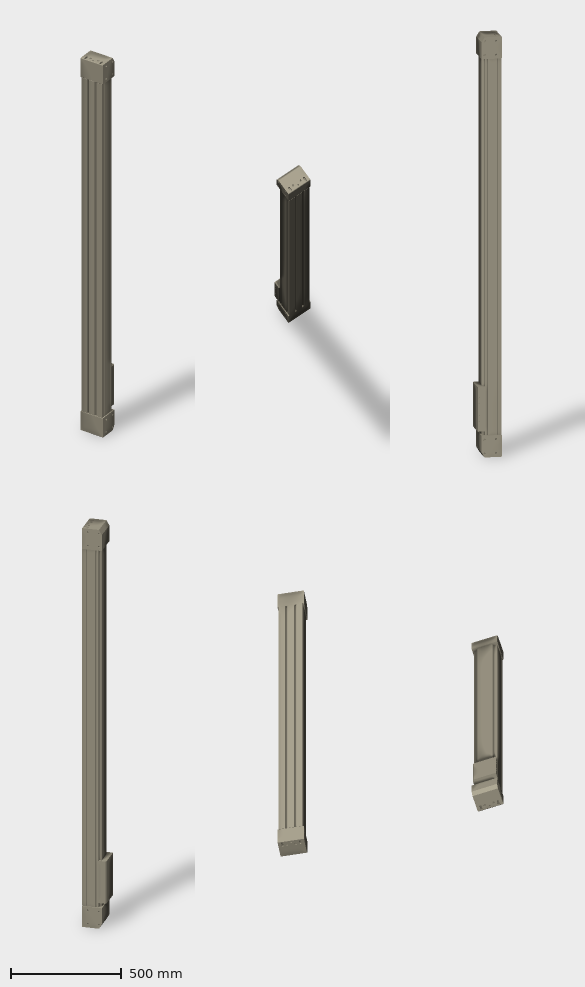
import cadquery as cq

TOTAL_LENGTH = 1946.0
HEAD_LENGTH = 101.0
PROFILE_LENGTH = TOTAL_LENGTH - 2 * HEAD_LENGTH

HEAD_WIDTH = 120.0
HEAD_DEPTH = 93.0
HEAD_EDGE_CHAMFER = 2.0
CORNER_CUT_Y = 14.0
CORNER_CUT_Z = 23.0

CAP_DIAMETER = 62.0
CAP_THICKNESS = 10.0
CAP_Z = 50.0
CAP_SCREW_DIAMETER = 9.0
CAP_SCREW_DEPTH = 10.0
CAP_SCREW_ROWS_Y = (27.0, 80.0)
CAP_SCREW_PITCH_Z = 65.0
CAP_Y = sum(CAP_SCREW_ROWS_Y) / 2

END_HOLE_DEPTH = 10.0
MAIN_BORE_DIAMETER = 4.9
MAIN_COUNTERBORE_DIAMETER = 11.0
MAIN_COUNTERBORE_DEPTH = 4.0
MAIN_HOLE_Y = 21.0
CENTRE_HOLE_DIAMETER = 7.0
CENTRE_HOLE_Y = 12.0
END_SLOT_X = 40.0
END_SLOT_Y = 15.0
END_SLOT_WIDTH = 9.0
END_SLOT_LENGTH = 23.0

PROFILE_WIDTH = 110.0
LEDGE_Y = 75.0
RAIL_WIDTH = 82.0
RAIL_TOP_Y = 88.0
RAIL_CHAMFER = 5.0

T_SLOT_PITCH = 40.0
T_SLOT_X = T_SLOT_PITCH / 2
T_SLOT_MOUTH = 12.0
T_SLOT_MOUTH_DEPTH = 4.0
T_SLOT_NECK = 5.0
T_SLOT_DEPTH = 10.0
SIDE_GROOVE_WIDTH = 5.0
SIDE_GROOVE_DEPTH = 5.0
SIDE_GROOVES_Y = (20.0, 66.0)

SLIDE_LEFT_X = -HEAD_WIDTH / 2
SLIDE_RIGHT_X = 50.0
SLIDE_WIDTH = SLIDE_RIGHT_X - SLIDE_LEFT_X
SLIDE_LENGTH = 206.0
SLIDE_CENTRE_Z = 224.0
SLIDE_BOTTOM_Z = SLIDE_CENTRE_Z - SLIDE_LENGTH / 2
TABLE_BOTTOM_Y = 100.0
TABLE_TOP_Y = 110.0
TABLE_CHAMFER = 5.0
TABLE_HOLE_DIAMETER = 7.0
TABLE_HOLE_DEPTH = 10.0
TABLE_HOLE_OFFSETS = (30.0, 55.0)


def block(x_min, y_min, z_min, width, depth, length):
    """A box given by its lowest corner and its sizes along X, Y and Z."""
    return cq.Workplane("XY").box(width, depth, length, centered=False).translate((x_min, y_min, z_min))


def side_cylinder(side, face_x, y, z, diameter, depth):
    """A cylinder that goes inward from the face at X = side * face_x."""
    return (
        cq.Workplane("YZ", origin=(side * face_x, y, z))
        .circle(diameter / 2)
        .extrude(-side * depth)
    )


def bearing_cap(side):
    """The disc set flush into one side of the lower head."""
    return side_cylinder(side, HEAD_WIDTH / 2, CAP_Y, CAP_Z, CAP_DIAMETER, CAP_THICKNESS)


def head_body():
    """The solid block of the lower head, with its outer +Y corner cut off."""
    outline = [
        (0, 0),
        (HEAD_DEPTH - CORNER_CUT_Y, 0),
        (HEAD_DEPTH, CORNER_CUT_Z),
        (HEAD_DEPTH, HEAD_LENGTH),
        (0, HEAD_LENGTH),
    ]
    body = cq.Workplane("YZ").polyline(outline).close().extrude(HEAD_WIDTH / 2, both=True)
    return body.faces("<Y").edges("|X").chamfer(HEAD_EDGE_CHAMFER)


def end_holes():
    """The counterbored holes, the centre hole and the slots in the outer end of the lower head."""
    end = cq.Workplane("XY")
    main_holes = end.pushPoints([(-T_SLOT_X, MAIN_HOLE_Y), (T_SLOT_X, MAIN_HOLE_Y)])
    counterbores = main_holes.circle(MAIN_COUNTERBORE_DIAMETER / 2).extrude(MAIN_COUNTERBORE_DEPTH)
    bores = main_holes.circle(MAIN_BORE_DIAMETER / 2).extrude(END_HOLE_DEPTH)
    centre_hole = end.center(0, CENTRE_HOLE_Y).circle(CENTRE_HOLE_DIAMETER / 2).extrude(END_HOLE_DEPTH)
    slots = (
        end.pushPoints([(-END_SLOT_X, END_SLOT_Y), (END_SLOT_X, END_SLOT_Y)])
        .slot2D(END_SLOT_LENGTH, END_SLOT_WIDTH, 90)
        .extrude(END_HOLE_DEPTH)
    )
    return counterbores.union(bores).union(centre_hole).union(slots)


def lower_head():
    head = head_body().cut(end_holes())
    for side in (-1, 1):
        head = head.cut(bearing_cap(side))
        for screw_y in CAP_SCREW_ROWS_Y:
            for direction in (-1, 1):
                screw_z = CAP_Z + direction * CAP_SCREW_PITCH_Z / 2
                head = head.cut(
                    side_cylinder(
                        side, HEAD_WIDTH / 2, screw_y, screw_z, CAP_SCREW_DIAMETER, CAP_SCREW_DEPTH
                    )
                )
    return head


def at_top(lower_body):
    """The mirror image of a lower body, at the upper end of the axis."""
    return lower_body.mirror("XY").translate((0, 0, TOTAL_LENGTH))


def profile_groove(x_min, y_min, width, depth):
    """A straight groove along the whole profile."""
    return block(x_min, y_min, HEAD_LENGTH, width, depth, PROFILE_LENGTH)


def extruded_profile():
    half_width = PROFILE_WIDTH / 2
    base = block(-half_width, 0, HEAD_LENGTH, PROFILE_WIDTH, LEDGE_Y, PROFILE_LENGTH)
    rail = block(-RAIL_WIDTH / 2, LEDGE_Y, HEAD_LENGTH, RAIL_WIDTH, RAIL_TOP_Y - LEDGE_Y, PROFILE_LENGTH)
    rail = rail.faces(">Y").edges("|Z").chamfer(RAIL_CHAMFER)
    profile = base.union(rail)
    for side in (-1, 1):
        slot_x = side * T_SLOT_X
        mouth = profile_groove(slot_x - T_SLOT_MOUTH / 2, 0, T_SLOT_MOUTH, T_SLOT_MOUTH_DEPTH)
        neck = profile_groove(slot_x - T_SLOT_NECK / 2, 0, T_SLOT_NECK, T_SLOT_DEPTH)
        profile = profile.cut(mouth).cut(neck)
        groove_x = side * (half_width - SIDE_GROOVE_DEPTH / 2)
        for groove_y in SIDE_GROOVES_Y:
            profile = profile.cut(
                profile_groove(
                    groove_x - SIDE_GROOVE_DEPTH / 2,
                    groove_y - SIDE_GROOVE_WIDTH / 2,
                    SIDE_GROOVE_DEPTH,
                    SIDE_GROOVE_WIDTH,
                )
            )
    return profile


def slide_carriage():
    """The carriage rests on the ledges and straddles the rail."""
    body = block(
        SLIDE_LEFT_X, LEDGE_Y, SLIDE_BOTTOM_Z, SLIDE_WIDTH, TABLE_BOTTOM_Y - LEDGE_Y, SLIDE_LENGTH
    )
    rail_channel = block(
        -RAIL_WIDTH / 2, LEDGE_Y, SLIDE_BOTTOM_Z, RAIL_WIDTH, RAIL_TOP_Y - LEDGE_Y, SLIDE_LENGTH
    )
    return body.cut(rail_channel)


def slide_table():
    """The plate on the carriage, with one chamfered edge and a row of holes in its -X side."""
    thickness = TABLE_TOP_Y - TABLE_BOTTOM_Y
    table = block(SLIDE_LEFT_X, TABLE_BOTTOM_Y, SLIDE_BOTTOM_Z, SLIDE_WIDTH, thickness, SLIDE_LENGTH)
    table = table.faces(">X").edges(">Y").chamfer(TABLE_CHAMFER)
    hole_y = TABLE_BOTTOM_Y + thickness / 2
    for offset in TABLE_HOLE_OFFSETS:
        for direction in (-1, 1):
            hole_z = SLIDE_CENTRE_Z + direction * offset
            table = table.cut(
                side_cylinder(-1, -SLIDE_LEFT_X, hole_y, hole_z, TABLE_HOLE_DIAMETER, TABLE_HOLE_DEPTH)
            )
    return table


profile = extruded_profile()
carriage = slide_carriage()
table = slide_table()

head = lower_head()
heads = [head, at_top(head)]

caps = []
for side in (-1, 1):
    cap = bearing_cap(side)
    caps += [cap, at_top(cap)]

bodies = [profile, carriage, table, *heads, *caps]
result = cq.Compound.makeCompound([body.val() for body in bodies])